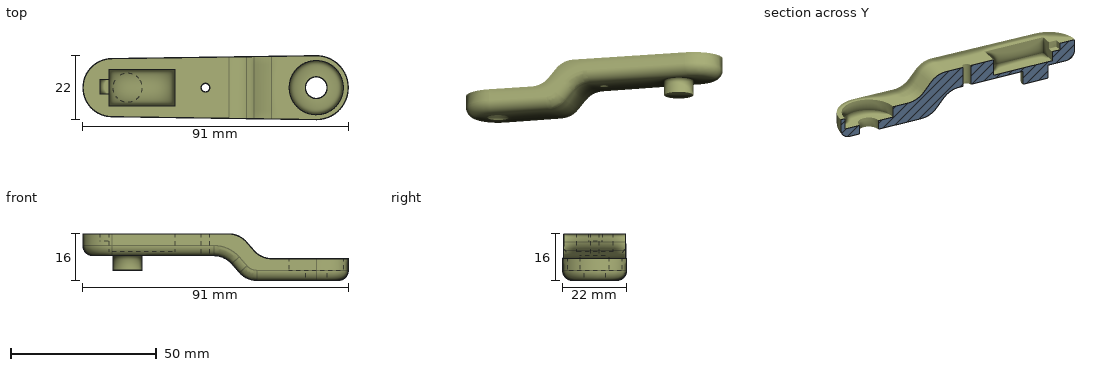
import cadquery as cq
import math

small_end_radius = 10.0
large_end_radius = 11.0
end_spacing = 70.0
small_end_x = small_end_radius
large_end_x = small_end_x + end_spacing
length = large_end_x + large_end_radius

height = 16.0
thickness = 7.5
step_drop = height - thickness
bend_start_x = 50.0
bend_radius = 8.0
bend_run = 14.7
underside_bend_lead = 5.0
bottom_edge_fillet = 3.5

pin_diameter = 10.0
pin_length = 5.0
pin_x = 15.3

pocket_start_x = 8.9
pocket_length = 22.7
pocket_width = 12.6
pocket_depth = 6.0
notch_length = 3.0
notch_width = 4.9
notch_offset_y = 0.3
notch_depth = 2.5

small_hole_diameter = 2.9
small_hole_x = 42.0
pivot_hole_diameter = 7.35
counterbore_diameter = 18.6
counterbore_depth = 4.0


def bend_angle():
    """Slope angle of an S-bend of two equal arcs and a tangent line."""
    side = 2 * bend_radius - step_drop
    phase = math.atan2(side, bend_run)
    return math.asin(2 * bend_radius / math.hypot(bend_run, side)) - phase


def bend_points(start_x, start_z):
    """Middle and end points of both arcs, walking down the bend."""
    angle = bend_angle()

    def along_arc(turn):
        return bend_radius * math.sin(turn), bend_radius * (1 - math.cos(turn))

    mid_x, mid_z = along_arc(angle / 2)
    end_x, end_z = along_arc(angle)
    last_x = start_x + bend_run
    last_z = start_z - step_drop
    return [
        (start_x, start_z),
        (start_x + mid_x, start_z - mid_z),
        (start_x + end_x, start_z - end_z),
        (last_x - end_x, last_z + end_z),
        (last_x - mid_x, last_z + mid_z),
        (last_x, last_z),
    ]


def side_profile():
    """Bar seen from the side, extruded across the full width."""
    top = bend_points(bend_start_x, height)
    under = bend_points(bend_start_x - underside_bend_lead, height - thickness)
    return (
        cq.Workplane("XZ")
        .moveTo(0, height)
        .lineTo(*top[0])
        .threePointArc(top[1], top[2])
        .lineTo(*top[3])
        .threePointArc(top[4], top[5])
        .lineTo(length, thickness)
        .lineTo(length, 0)
        .lineTo(*under[5])
        .threePointArc(under[4], under[3])
        .lineTo(*under[2])
        .threePointArc(under[1], under[0])
        .lineTo(0, height - thickness)
        .close()
        .extrude(large_end_radius, both=True)
    )


def plan_outline():
    """Bar seen from above, extruded through the full height."""
    return (
        cq.Workplane("XY")
        .moveTo(small_end_x, small_end_radius)
        .lineTo(large_end_x, large_end_radius)
        .threePointArc((length, 0), (large_end_x, -large_end_radius))
        .lineTo(small_end_x, -small_end_radius)
        .threePointArc((0, 0), (small_end_x, small_end_radius))
        .close()
        .extrude(height)
    )


def bar():
    """S-bent bar with its whole underside rim rounded."""
    body = side_profile().intersect(plan_outline())
    return body.faces("<Z").edges("not(|Y)").fillet(bottom_edge_fillet)


def cylinder(x, diameter, bottom_z, top_z):
    return (
        cq.Workplane("XY", origin=(x, 0, bottom_z))
        .circle(diameter / 2)
        .extrude(top_z - bottom_z)
    )


def sunk_box(start_x, box_length, center_y, width, depth):
    """Box reaching down from the upper top face."""
    center = (start_x + box_length / 2, center_y, height - depth)
    return cq.Workplane("XY", origin=center).rect(box_length, width).extrude(depth)


def add_pin(body):
    pin_top = height - thickness
    return body.union(cylinder(pin_x, pin_diameter, pin_top - pin_length, pin_top))


def cut_pocket(body):
    notch_start_x = pocket_start_x - notch_length
    pocket = sunk_box(pocket_start_x, pocket_length, 0, pocket_width, pocket_depth)
    notch = sunk_box(notch_start_x, notch_length, notch_offset_y, notch_width, notch_depth)
    return body.cut(pocket).cut(notch)


def cut_holes(body):
    """Small through hole, and counterbored pivot hole in the large end."""
    small_hole = cylinder(small_hole_x, small_hole_diameter, 0, height)
    pivot_hole = cylinder(large_end_x, pivot_hole_diameter, 0, thickness)
    counterbore_floor = thickness - counterbore_depth
    counterbore = cylinder(large_end_x, counterbore_diameter, counterbore_floor, thickness)
    return body.cut(small_hole).cut(pivot_hole).cut(counterbore)


result = cut_holes(cut_pocket(add_pin(bar())))